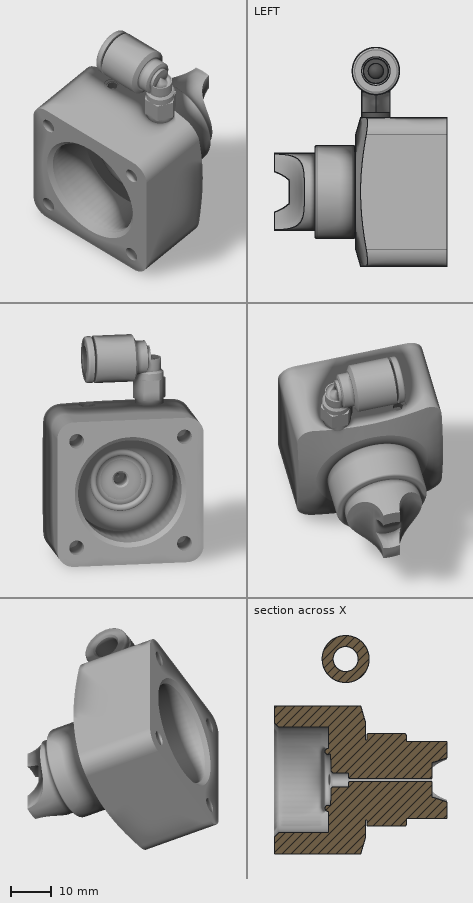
import cadquery as cq
import math

BODY_SIDE = 36.6
BODY_HALF = BODY_SIDE / 2
BODY_DEPTH = 22.5
CORNER_RADIUS = 4.15
BEVEL_START_RADIUS = 14.2
BEVEL_SLOPE = 0.29

BORE_RADIUS = 12.95
BORE_MOUTH_CHAMFER = 1.0
BORE_DEPTH = 13.2

MOUNT_HOLE_OFFSET = 13.5
MOUNT_HOLE_RADIUS = 1.85
MOUNT_HOLE_DEPTH = 8.1
DRILL_TIP_ANGLE = 118

O_RING_RADIUS = 7.0
O_RING_SECTION_RADIUS = 0.8
SEAT_RECESS = 0.55
INSERT_RADIUS = 5.1
INSERT_RECESS = 0.15
INLET_RADIUS = 1.65
INLET_MOUTH_RADIUS = 2.1
INLET_DEPTH = 4.3
PASSAGE_RADIUS = 0.3
PASSAGE_COUNTERSINK_RADIUS = 0.55

NECK_RADIUS = 9.9
KNOB_START = 22.7
KNOB_END = 32.5
KNOB_RADIUS = 11.5
KNOB_EDGE = 0.5
NOZZLE_RADIUS = 9.55
NOZZLE_END = 42.5
SCALLOP_RADIUS = 7.65
SCALLOP_X = 9.75
SCALLOP_Y = 42.75
CUP_MOUTH_RADIUS = 5.4
CUP_FLOOR_RADIUS = 4.2
CUP_FLOOR_Y = 38.85

PORT_X = 7.75
PORT_Y = 17.5
SCREW_RADIUS = 2.1
SCREW_RECESS = 0.15
SOCKET_MOUTH_RADIUS = 1.45
SOCKET_ACROSS_FLATS = 2.25
SOCKET_DEPTH = 2.15

TUBE_AXIS_Z = 29.75
OVERALL_HEIGHT = 53.9
COLLAR_RADIUS = 3.5
COLLAR_TOP = 26.75
COLLAR_EDGE = 0.5
HEX_ACROSS_FLATS = 7.0
HEX_BOTTOM = 19.55
HEX_TOP = 24.6
STEM_RADIUS = 2.9
STEM_CONE_HEIGHT = 0.8
STEM_GROOVE_DEPTH = 0.95
STEM_GROOVE_RADIUS = 1.8
STEM_RIM_WIDTH = 0.2

DISC_START = -8.35
DISC_END = -6.8
DISC_RADIUS = 5.75
DISC_EDGE = 0.55
TUBE_NECK_RADIUS = 3.1
SLEEVE_START = -6.15
SLEEVE_END = 3.5
SLEEVE_RADIUS = OVERALL_HEIGHT - BODY_HALF - TUBE_AXIS_Z
SHOULDER_END = 4.2
SHOULDER_RADIUS = 4.65
COUPLER_END = 6.75
COUPLER_RADIUS = 4.2
COUPLER_TAPER_END = 7.05
COUPLER_TAPER_RADIUS = 3.45
ELBOW_RADIUS = 2.9
TUBE_BORE_RADIUS = 3.0
TUBE_BORE_MOUTH = 0.5
TUBE_BORE_END = 3.5
BALL_RADIUS = 1.9

OVERLAP = 0.55


def revolve_about_y(points):
    """Solid of revolution about the bore axis from (radius, y) points."""
    return cq.Workplane("XY").polyline(points).close().revolve(360, (0, 0, 0), (0, 1, 0))


def revolve_about_tube(points):
    """Solid of revolution about the tube axis from (x, radius) points."""
    profile = cq.Workplane("XZ").polyline(points).close()
    return profile.revolve(360, (0, 0, 0), (1, 0, 0)).translate((0, PORT_Y, TUBE_AXIS_Z))


def make_housing():
    block = cq.Workplane("XY").box(BODY_SIDE, BODY_DEPTH, BODY_SIDE)
    block = block.translate((0, BODY_DEPTH / 2, 0)).edges("|Y").fillet(CORNER_RADIUS)
    outer = BODY_HALF * math.sqrt(2)
    drop = (outer - BEVEL_START_RADIUS) * BEVEL_SLOPE
    envelope = revolve_about_y([
        (0, 0),
        (outer, 0),
        (outer, BODY_DEPTH - drop),
        (BEVEL_START_RADIUS, BODY_DEPTH),
        (0, BODY_DEPTH),
    ])
    return block.intersect(envelope)


def make_bore():
    seat = BORE_DEPTH + SEAT_RECESS
    return revolve_about_y([
        (0, 0),
        (BORE_RADIUS + BORE_MOUTH_CHAMFER, 0),
        (BORE_RADIUS, BORE_MOUTH_CHAMFER),
        (BORE_RADIUS, BORE_DEPTH),
        (O_RING_RADIUS, BORE_DEPTH),
        (O_RING_RADIUS, seat),
        (INSERT_RADIUS, seat),
        (INSERT_RADIUS, seat + INSERT_RECESS),
        (0, seat + INSERT_RECESS),
    ])


def make_inlet():
    mouth = BORE_DEPTH + SEAT_RECESS + INSERT_RECESS
    floor = mouth + INLET_DEPTH
    return revolve_about_y([
        (0, mouth),
        (INLET_MOUTH_RADIUS, mouth),
        (INLET_RADIUS, mouth + INLET_MOUTH_RADIUS - INLET_RADIUS),
        (INLET_RADIUS, floor),
        (PASSAGE_COUNTERSINK_RADIUS, floor),
        (PASSAGE_RADIUS, floor + PASSAGE_COUNTERSINK_RADIUS - PASSAGE_RADIUS),
        (PASSAGE_RADIUS, NOZZLE_END),
        (0, NOZZLE_END),
    ])


def make_mount_hole(x, z):
    tip = MOUNT_HOLE_RADIUS / math.tan(math.radians(DRILL_TIP_ANGLE / 2))
    hole = revolve_about_y([
        (0, 0),
        (MOUNT_HOLE_RADIUS, 0),
        (MOUNT_HOLE_RADIUS, MOUNT_HOLE_DEPTH),
        (0, MOUNT_HOLE_DEPTH + tip),
    ])
    return hole.translate((x, 0, z))


def make_o_ring():
    section = cq.Workplane("XY").center(O_RING_RADIUS, BORE_DEPTH).circle(O_RING_SECTION_RADIUS)
    return section.revolve(360, (-O_RING_RADIUS, 0, 0), (-O_RING_RADIUS, 1, 0))


def make_knob_and_nozzle():
    neck = revolve_about_y([
        (0, BODY_DEPTH - OVERLAP),
        (NECK_RADIUS, BODY_DEPTH - OVERLAP),
        (NECK_RADIUS, KNOB_START),
        (0, KNOB_START),
    ])
    knob = revolve_about_y([
        (0, KNOB_START),
        (KNOB_RADIUS, KNOB_START),
        (KNOB_RADIUS, KNOB_END),
        (0, KNOB_END),
    ]).edges().fillet(KNOB_EDGE)
    nozzle = revolve_about_y([
        (0, KNOB_END),
        (NOZZLE_RADIUS, KNOB_END),
        (NOZZLE_RADIUS, NOZZLE_END),
        (0, NOZZLE_END),
    ])
    cup = revolve_about_y([
        (0, CUP_FLOOR_Y),
        (CUP_FLOOR_RADIUS, CUP_FLOOR_Y),
        (CUP_MOUTH_RADIUS, NOZZLE_END),
        (0, NOZZLE_END),
    ])
    for side in (-1, 1):
        scallop = cq.Workplane("XY").center(side * SCALLOP_X, SCALLOP_Y).circle(SCALLOP_RADIUS)
        nozzle = nozzle.cut(scallop.extrude(NOZZLE_RADIUS, both=True))
    return neck.union(knob).union(nozzle.cut(cup))


def make_set_screw_socket():
    top = cq.Workplane("XY", origin=(-PORT_X, PORT_Y, BODY_HALF))
    face = BODY_HALF - SCREW_RECESS
    corner = SOCKET_ACROSS_FLATS / math.cos(math.radians(30))
    recess = top.circle(SCREW_RADIUS).extrude(-SCREW_RECESS)
    mouth = top.circle(SOCKET_MOUTH_RADIUS).extrude(-2 * SCREW_RECESS)
    hexagon = cq.Workplane("XY", origin=(-PORT_X, PORT_Y, face)).polygon(6, corner)
    return recess.union(mouth).union(hexagon.extrude(-SOCKET_DEPTH))


def make_stem():
    """Vertical leg: collar, hexagon, and a stem topped by a cone inside a ring groove."""
    bottom = BODY_HALF - OVERLAP
    collar = cq.Workplane("XY", origin=(PORT_X, PORT_Y, bottom)).circle(COLLAR_RADIUS)
    collar = collar.extrude(COLLAR_TOP - bottom).faces(">Z").chamfer(COLLAR_EDGE)
    corner = HEX_ACROSS_FLATS / math.cos(math.radians(30))
    hexagon = cq.Workplane("XY", origin=(PORT_X, PORT_Y, HEX_BOTTOM)).polygon(6, corner)
    hexagon = hexagon.extrude(HEX_TOP - HEX_BOTTOM)
    foot = COLLAR_TOP - TUBE_AXIS_Z
    rim = STEM_RADIUS - STEM_RIM_WIDTH
    bulge = ((STEM_GROOVE_RADIUS + rim) / 2 + 0.25, -STEM_GROOVE_DEPTH / 2 - 0.2)
    stem = (
        cq.Workplane("XZ")
        .moveTo(0, foot)
        .lineTo(STEM_RADIUS, foot)
        .lineTo(STEM_RADIUS, 0)
        .lineTo(rim, 0)
        .threePointArc(bulge, (STEM_GROOVE_RADIUS, -STEM_GROOVE_DEPTH))
        .lineTo(0, STEM_CONE_HEIGHT)
        .close()
        .revolve(360, (0, 0, 0), (0, 1, 0))
        .translate((PORT_X, PORT_Y, TUBE_AXIS_Z))
    )
    return collar.union(hexagon).union(stem)


def make_tube_leg():
    """Horizontal leg: release disc, sleeve, stepped coupler and elbow end."""
    disc = revolve_about_tube([
        (DISC_START, 0),
        (DISC_START, DISC_RADIUS),
        (DISC_END, DISC_RADIUS),
        (DISC_END, 0),
    ]).faces("<X").edges().fillet(DISC_EDGE)
    leg = revolve_about_tube([
        (DISC_END, 0),
        (DISC_END, TUBE_NECK_RADIUS),
        (SLEEVE_START, TUBE_NECK_RADIUS),
        (SLEEVE_START, SLEEVE_RADIUS),
        (SLEEVE_END, SLEEVE_RADIUS),
        (SHOULDER_END, SHOULDER_RADIUS),
        (SHOULDER_END, COUPLER_RADIUS),
        (COUPLER_END, COUPLER_RADIUS),
        (COUPLER_TAPER_END, COUPLER_TAPER_RADIUS),
        (COUPLER_TAPER_END, ELBOW_RADIUS),
        (PORT_X, ELBOW_RADIUS),
        (PORT_X, 0),
    ])
    bore = revolve_about_tube([
        (DISC_START, 0),
        (DISC_START, TUBE_BORE_RADIUS + TUBE_BORE_MOUTH),
        (DISC_START + TUBE_BORE_MOUTH, TUBE_BORE_RADIUS),
        (TUBE_BORE_END, TUBE_BORE_RADIUS),
        (TUBE_BORE_END, 0),
    ])
    ball = cq.Workplane("XY").sphere(BALL_RADIUS).translate((TUBE_BORE_END, PORT_Y, TUBE_AXIS_Z))
    return disc.union(leg).cut(bore).union(ball)


result = make_housing().union(make_knob_and_nozzle()).cut(make_bore()).union(make_o_ring())
result = result.cut(make_inlet()).cut(make_set_screw_socket())
for x in (-MOUNT_HOLE_OFFSET, MOUNT_HOLE_OFFSET):
    for z in (-MOUNT_HOLE_OFFSET, MOUNT_HOLE_OFFSET):
        result = result.cut(make_mount_hole(x, z))
result = result.union(make_stem()).union(make_tube_leg())